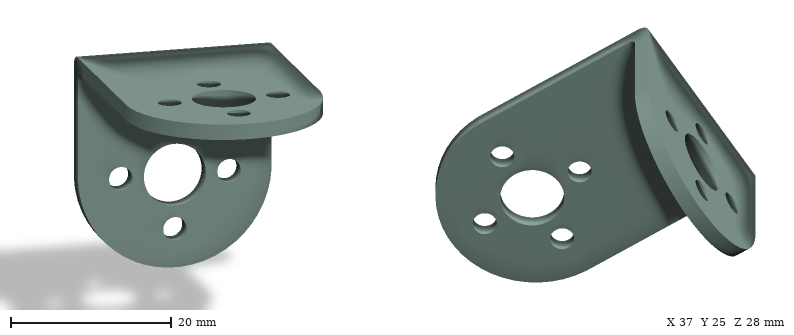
import cadquery as cq

length = 37.0
width = 25.0
height = 28.0
thickness = 2.0

outer_bend_radius = 1.6
inner_bend_radius = 1.0

end_depth = 12.0
center_bore_diameter = 8.0
small_hole_diameter = 3.0
bolt_circle_radius = 7.0
hole_count = 4


def flange(workplane, reach):
    """Flat plate running from the bend along local x, with an arc end and holes."""
    hole_center = reach - end_depth
    plate = (
        workplane.moveTo(0, -width / 2)
        .lineTo(hole_center, -width / 2)
        .threePointArc((reach, 0), (hole_center, width / 2))
        .lineTo(0, width / 2)
        .close()
        .extrude(-thickness)
    )
    center = workplane.center(hole_center, 0)
    bore = center.circle(center_bore_diameter / 2).extrude(-thickness)
    small_holes = (
        center.polarArray(bolt_circle_radius, 0, 360, hole_count)
        .circle(small_hole_diameter / 2)
        .extrude(-thickness)
    )
    return plate.cut(bore).cut(small_holes)


top_plane = cq.Workplane("XY")
side_plane = cq.Workplane(cq.Plane(origin=(0, 0, 0), xDir=(0, 0, -1), normal=(-1, 0, 0)))

bracket = flange(top_plane, length).union(flange(side_plane, height))

outer_corner = cq.selectors.NearestToPointSelector((0, 0, 0))
inner_corner = cq.selectors.NearestToPointSelector((thickness, 0, -thickness))
bracket = bracket.edges("|Y").edges(outer_corner).fillet(outer_bend_radius)
result = bracket.edges("|Y").edges(inner_corner).fillet(inner_bend_radius)